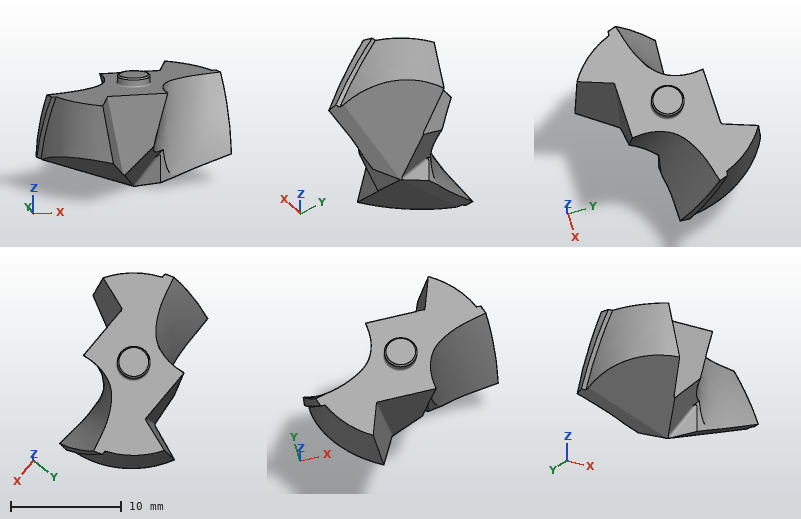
import cadquery as cq
import math

BODY_HEIGHT = 9.63
MARGIN_RADIUS = 8.85
LAND_RADIUS = 8.48
TWIST_PER_UNIT = 3.729
TOOL_SIZE = 44.25

MARGIN_START_ANGLE = 15.0
MARGIN_END_ANGLE = 20.4
LAND_START_ANGLE = 21.8
HEEL_ANGLE = 113.0
FLUTE_POINTS = [(7.55, 2.05), (6.16, 1.68), (4.3, 0.85), (3.08, -0.15), (2.5, -1.17), (2.2, -2.53), (2.25, -3.96)]

RELIEF_SLOPES = (-0.352, -0.394)
LIP_SLOPES = (-0.352, -0.08)

NOTCH_CORNER_TOP = cq.Vector(-3.31, -4.04, BODY_HEIGHT)
NOTCH_CORNER_BOTTOM = cq.Vector(-1.79, -3.9, 2.12)
NOTCH_WING_DIRECTION = cq.Vector(-6.6, -18.3, 0)
NOTCH_FILLET = 0.21

GASH_FLOOR_SLOPES = (0.935, -0.955)
GASH_WALL_NORMAL = cq.Vector(-0.73, -1.0, 0)
GASH_LIP_Y = -1.55
GASH_FILLET = 0.3

PIN_RADIUS = 1.49
PIN_HEIGHT = 0.85
PIN_CHAMFER = 0.15
PIN_BASE_FILLET = 0.15


def polar(radius, angle):
    return (radius * math.cos(math.radians(angle)), radius * math.sin(math.radians(angle)))


def opposite(point):
    return (-point[0], -point[1])


def half_space(origin, normal):
    """Block filling the side of a plane that its normal points to."""
    plane = cq.Plane(origin=origin, normal=normal)
    return cq.Workplane(plane).rect(TOOL_SIZE, TOOL_SIZE).extrude(TOOL_SIZE)


def below_slopes(slopes):
    """Block under a plane through the point with the given X and Y slopes."""
    return half_space(cq.Vector(0, 0, 0), cq.Vector(slopes[0], slopes[1], -1))


def filleted_wedge(block, other, corner, radius):
    """Overlap of two blocks with the edge next to a corner point rounded."""
    wedge = block.intersect(other)
    return wedge.edges(cq.selectors.NearestToPointSelector(corner.toTuple())).fillet(radius)


def cut_both_sides(body, tool):
    return body.cut(tool).cut(tool.rotate((0, 0, 0), (0, 0, 1), 180))


def fluted_body():
    margin_start = polar(MARGIN_RADIUS, MARGIN_START_ANGLE)
    margin_middle = polar(MARGIN_RADIUS, (MARGIN_START_ANGLE + MARGIN_END_ANGLE) / 2)
    margin_end = polar(MARGIN_RADIUS, MARGIN_END_ANGLE)
    land_start = polar(LAND_RADIUS, LAND_START_ANGLE)
    land_middle = polar(LAND_RADIUS, (LAND_START_ANGLE + HEEL_ANGLE) / 2)
    heel = polar(LAND_RADIUS, HEEL_ANGLE)
    flute = FLUTE_POINTS[::-1] + [margin_start]

    section = cq.Workplane("XY").moveTo(*margin_start)
    for turn in (lambda point: point, opposite):
        section = section.threePointArc(turn(margin_middle), turn(margin_end))
        section = section.lineTo(*turn(land_start))
        section = section.threePointArc(turn(land_middle), turn(heel))
        section = section.spline([turn(opposite(point)) for point in flute], includeCurrent=True)
    twist = TWIST_PER_UNIT * BODY_HEIGHT
    body = section.close().twistExtrude(BODY_HEIGHT, twist)
    return body.rotate((0, 0, 0), (0, 0, 1), -twist)


def chip_notch():
    corner_line = NOTCH_CORNER_TOP - NOTCH_CORNER_BOTTOM
    back_wall = half_space(NOTCH_CORNER_TOP, corner_line.cross(cq.Vector(-1, 0, 0)))
    wing_wall = half_space(NOTCH_CORNER_TOP, NOTCH_WING_DIRECTION.cross(corner_line) * -1)
    return filleted_wedge(back_wall, wing_wall, NOTCH_CORNER_TOP, NOTCH_FILLET)


def point_gash():
    origin = cq.Vector(0, 0, 0)
    wall = half_space(origin, GASH_WALL_NORMAL)
    return filleted_wedge(below_slopes(GASH_FLOOR_SLOPES), wall, origin, GASH_FILLET)


def lip_relief():
    lip_wall = half_space(cq.Vector(0, GASH_LIP_Y, 0), cq.Vector(0, -1, 0))
    return below_slopes(GASH_FLOOR_SLOPES).intersect(lip_wall)


def locating_pin():
    outline = (
        cq.Workplane("XZ", origin=(0, 0, BODY_HEIGHT))
        .lineTo(PIN_RADIUS + PIN_BASE_FILLET, 0)
        .radiusArc((PIN_RADIUS, PIN_BASE_FILLET), PIN_BASE_FILLET)
        .lineTo(PIN_RADIUS, PIN_HEIGHT - PIN_CHAMFER)
        .lineTo(PIN_RADIUS - PIN_CHAMFER, PIN_HEIGHT)
        .lineTo(0, PIN_HEIGHT)
        .close()
    )
    return outline.revolve(360, (0, 0, 0), (0, 1, 0))


result = fluted_body()
cutters = [below_slopes(RELIEF_SLOPES), below_slopes(LIP_SLOPES), chip_notch(), point_gash(), lip_relief()]
for cutter in cutters:
    result = cut_both_sides(result, cutter)
result = result.union(locating_pin())